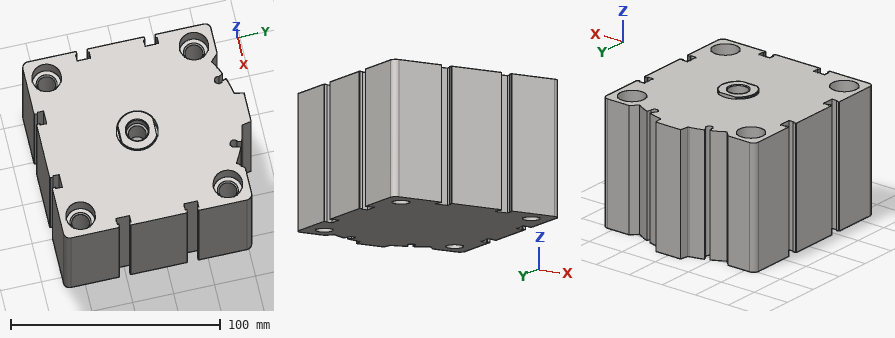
import cadquery as cq
import math

width = 92.0
half_width = width / 2
height = 67.0
corner_radius = 3.0

crown_radius = 50.0
valley_start_x = 30.0
tab_top_y = 54.0
tab_top_half_width = 7.5
tab_base_half_width = 8.3
tab_root_radius = 0.6
tab_root_y = math.sqrt(crown_radius**2 - tab_base_half_width**2)

groove_offset = 16.6

round_groove_y = 43.5
round_groove_diameter = 3.7
round_groove_mouth = 2.8

t_groove_mouth = 5.2
t_groove_inner_width = 6.6
t_groove_depth = 4.8
t_groove_lip = 1.7
t_groove_mouth_chamfer = 0.3

mount_offset = 36.0
mount_diameter = 8.5
mount_mouth_diameter = 10.0
mount_bore_diameter = 14.0
mount_bore_depth = 9.0

rod_diameter = 20.0
rod_projection = 1.0
rod_across_flats = 17.0
rod_flat_length = 6.0
rod_chamfer = 0.4
rod_floor = 10.0

rod_hole_diameter = 8.4
rod_hole_depth = 20.0
rod_recess_diameter = 10.5
rod_recess_depth = 4.7
rod_mouth_diameter = 11.4
drill_half_angle = math.radians(60)

rod_top = height + rod_projection


def block_profile():
    """Extruded outline: square, with valleys, crown and tab on the +Y side."""
    flank_rise = half_width - valley_start_x
    valley_x = (math.sqrt(2 * crown_radius**2 - flank_rise**2) - flank_rise) / 2
    valley_y = valley_x + flank_rise
    arc_x = (valley_x + tab_base_half_width) / 2
    arc_y = math.sqrt(crown_radius**2 - arc_x**2)
    return (
        cq.Workplane("XY")
        .moveTo(-half_width, -half_width)
        .lineTo(half_width, -half_width)
        .lineTo(half_width, half_width)
        .lineTo(valley_start_x, half_width)
        .lineTo(valley_x, valley_y)
        .threePointArc((arc_x, arc_y), (tab_base_half_width, tab_root_y))
        .lineTo(tab_top_half_width, tab_top_y)
        .lineTo(-tab_top_half_width, tab_top_y)
        .lineTo(-tab_base_half_width, tab_root_y)
        .threePointArc((-arc_x, arc_y), (-valley_x, valley_y))
        .lineTo(-valley_start_x, half_width)
        .lineTo(-half_width, half_width)
        .close()
        .extrude(height)
    )


def round_edges(body, x, y, radius):
    """Fillet the mirrored pair of vertical edges at (-x, y) and (x, y)."""
    margin = 0.2
    for edge_x in (-x, x):
        around_edge = cq.selectors.BoxSelector(
            (edge_x - margin, y - margin, 0),
            (edge_x + margin, y + margin, height),
        )
        body = body.edges(around_edge).fillet(radius)
    return body


def t_groove(offset):
    """Full-height T groove with a chamfered mouth, open to the -Y side at X = offset."""
    mouth = (
        cq.Workplane("XY")
        .center(offset, -half_width + t_groove_depth / 2)
        .rect(t_groove_mouth, t_groove_depth)
        .extrude(height)
    )
    inner_length = t_groove_depth - t_groove_lip
    inner = (
        cq.Workplane("XY")
        .center(offset, -half_width + t_groove_lip + inner_length / 2)
        .rect(t_groove_inner_width, inner_length)
        .extrude(height)
    )
    flare_half_width = t_groove_mouth / 2 + t_groove_mouth_chamfer
    flare = (
        cq.Workplane("XY")
        .moveTo(offset - flare_half_width, -half_width)
        .lineTo(offset + flare_half_width, -half_width)
        .lineTo(offset, -half_width + flare_half_width)
        .close()
        .extrude(height)
    )
    return mouth.union(inner).union(flare)


def round_groove(side):
    """Full-height round groove in the crown with a narrower radial mouth."""
    reach = crown_radius - round_groove_y
    tilt = side * math.degrees(math.atan2(groove_offset, round_groove_y))
    pocket = cq.Workplane("XY").circle(round_groove_diameter / 2).extrude(height)
    mouth = (
        cq.Workplane("XY").center(0, reach / 2).rect(round_groove_mouth, reach).extrude(height)
        .rotate((0, 0, 0), (0, 0, 1), -tilt)
    )
    return pocket.union(mouth).translate((side * groove_offset, round_groove_y, 0))


def revolve_profile(points):
    """Solid of revolution about Z from (radius, z) points that end on the axis."""
    return cq.Workplane("XZ").polyline(points).close().revolve(360, (0, 0, 0), (0, 1, 0))


def mount_hole(x, y):
    """Counterbored through hole with a chamfered mouth in the counterbore floor."""
    bore_floor = height - mount_bore_depth
    chamfer = (mount_mouth_diameter - mount_diameter) / 2
    profile = [
        (0, 0),
        (mount_diameter / 2, 0),
        (mount_diameter / 2, bore_floor - chamfer),
        (mount_mouth_diameter / 2, bore_floor),
        (mount_bore_diameter / 2, bore_floor),
        (mount_bore_diameter / 2, height),
        (0, height),
    ]
    return revolve_profile(profile).translate((x, y, 0))


def rod_socket():
    """Round socket in the housing that the rod fills."""
    socket_floor = cq.Workplane("XY").workplane(offset=rod_floor)
    return socket_floor.circle(rod_diameter / 2).extrude(height - rod_floor)


def make_housing():
    """Grooved block with four mounting holes and the rod socket."""
    body = block_profile()
    for y in (-half_width, half_width):
        body = round_edges(body, half_width, y, corner_radius)
    body = round_edges(body, tab_base_half_width, tab_root_y, tab_root_radius)
    for quarter_turn in (-90, 0, 90):
        for side in (-1, 1):
            body = body.cut(t_groove(side * groove_offset).rotate((0, 0, 0), (0, 0, 1), quarter_turn))
    for side in (-1, 1):
        body = body.cut(round_groove(side))
    for x in (-mount_offset, mount_offset):
        for y in (-mount_offset, mount_offset):
            body = body.cut(mount_hole(x, y))
    return body.cut(rod_socket())


def rod_end_hole():
    """Blind drilled hole with a wider recess and a chamfered mouth."""
    hole_radius = rod_hole_diameter / 2
    recess_radius = rod_recess_diameter / 2
    mouth_radius = rod_mouth_diameter / 2
    recess_floor = rod_top - rod_recess_depth
    cone_height = (recess_radius - hole_radius) / math.tan(drill_half_angle)
    hole_floor = rod_top - rod_hole_depth
    tip_height = hole_radius / math.tan(drill_half_angle)
    return revolve_profile([
        (0, hole_floor - tip_height),
        (hole_radius, hole_floor),
        (hole_radius, recess_floor - cone_height),
        (recess_radius, recess_floor),
        (recess_radius, rod_top - (mouth_radius - recess_radius)),
        (mouth_radius, rod_top),
        (0, rod_top),
    ])


def make_rod():
    """Round rod with a chamfered end, two wrench flats and a drilled end hole."""
    rod = (
        cq.Workplane("XY").workplane(offset=rod_floor)
        .circle(rod_diameter / 2).extrude(rod_top - rod_floor)
        .faces(">Z").edges().chamfer(rod_chamfer)
    )
    flats_bottom = cq.Workplane("XY").workplane(offset=rod_top - rod_flat_length)
    blank = flats_bottom.rect(rod_diameter, rod_diameter).extrude(rod_flat_length)
    flat_bar = flats_bottom.rect(rod_diameter, rod_across_flats).extrude(rod_flat_length)
    flats = blank.cut(flat_bar)
    return rod.cut(flats).cut(rod_end_hole())


housing = make_housing()
rod = make_rod()

result = cq.Compound.makeCompound([housing.val(), rod.val()])